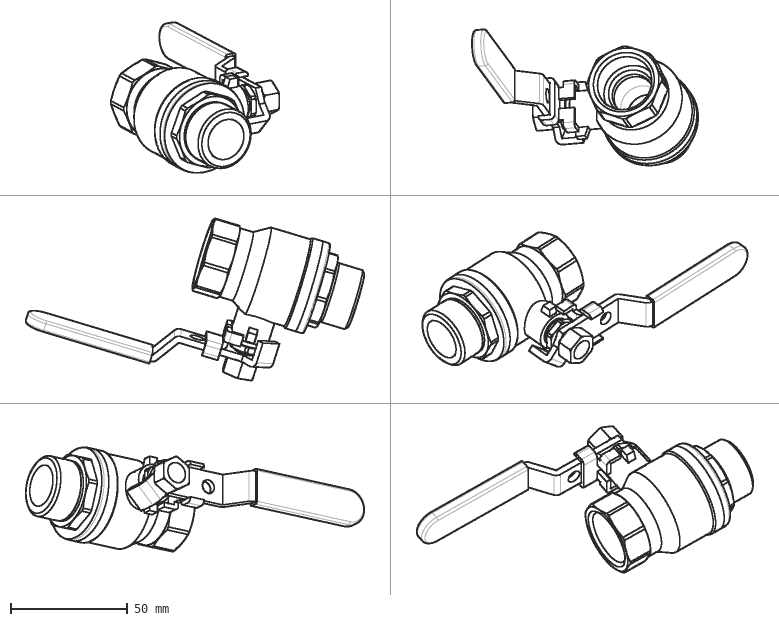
import cadquery as cq
import math


INLET_FACE = -29.9
INLET_HEX_END = -18.0
NECK_END = -12.0
SHOULDER_END = -5.2
COLLAR_START = 13.2
CAP_JOINT = 17.7
FLANGE_END = 21.1
CAP_HEX_END = 26.1
RELIEF_END = 27.3
OUTLET_FACE = 39.0
PLUG_START = 5.3

HEX_APOTHEM = 31.3 / 2
HEX_CORNER_RADIUS = 16.6
HEX_FACE_RADIUS = 15.5
NECK_RADIUS = 15.4
SHELL_RADIUS = 19.5
COLLAR_RADIUS = 40.5 / 2
COLLAR_STEP = COLLAR_RADIUS - SHELL_RADIUS
FLANGE_BEVEL_LENGTH = 0.9
FLANGE_BEVEL_HEIGHT = 0.3
HEX_BEVEL_LENGTH = 0.5
THREAD_RADIUS = 26.6 / 2
RELIEF_RADIUS = 13.2
THREAD_BEVEL = 1.2
BALL_RADIUS = 14.6
BORE_RADIUS = 18.0 / 2
THROAT_RADIUS = 20 / 2
SOCKET_RADIUS = 24.1 / 2
SOCKET_MOUTH_RADIUS = 27.0 / 2
SOCKET_MOUTH_DEPTH = 1.3
SOCKET_DEPTH = 12.6

STEM_FOOT = 12.0
GLAND_FOOT = 25.3
BOSS_TOP = 29.5
GLAND_STEP = 30.0
GLAND_TOP = 31.9
PACKING_NUT_TOP = 34.6
LEVER_BOTTOM = 35.9
LEVER_THICKNESS = 2.9
LEVER_TOP = LEVER_BOTTOM + LEVER_THICKNESS
LEVER_NUT_TOP = 46.3
BOSS_RADIUS = 17.0 / 2
STEM_RADIUS = 9.0 / 2
GLAND_FLANGE_RADIUS = 12.5 / 2
GLAND_RADIUS = 12.0 / 2
PACKING_NUT_FLATS = 14.0
PACKING_NUT_CORNER_RADIUS = 7.7
LEVER_NUT_FLATS = 13.2
NUT_BEVEL = 0.4

LUG_WIDTH = 3.9
LUG_REACH = 12.4
LUG_TOP = 28.3
LUG_FLAT_BOTTOM = 24.3
LUG_ROOT_BOTTOM = 23.0

LEVER_HALF_WIDTH = 6.9
LEVER_ANGLE = 56.5
GRIP_MID_HEIGHT = 48.8
LOWER_BEND_X = -29.5
LEVER_END = 4.0
WEB_END = 7.0
BEND_RADIUS = LEVER_THICKNESS
LOCK_HOLE_DIAMETER = 6.0
LOCK_HOLE_X = -21.4
STOP_ARM_ANGLE = 45.0
STOP_ARM_REACH = 12.9
STOP_ARM_HALF_WIDTH = 5.3
STOP_ARM_CORNER_RADIUS = LEVER_THICKNESS
STOP_ARM_BOTTOM = 26.9

GRIP_START = -94.0
GRIP_END = -38.2
GRIP_WALL = 1.1
GRIP_HALF_WIDTH = LEVER_HALF_WIDTH + GRIP_WALL
GRIP_THICKNESS = LEVER_THICKNESS + 2 * GRIP_WALL
GRIP_EDGE_RADIUS = 1.0

CLIP_SHEET = 2.1
CLIP_START = -17.7
CLIP_SLEEVE_END = -10.6
CLIP_HALF_WIDTH = 19.0 / 2
CLIP_LIP_TOP = 41.1
CLIP_CORNER_RADIUS = 2.0
CLIP_BASE_BOTTOM = LEVER_BOTTOM - CLIP_SHEET
CLIP_LEG_BOTTOM = 26.9
CLIP_LEG_SLOT = 4.5
CLIP_LEG_HALF_WIDTH = 7.5
CLIP_WING_TOP = 31.8
CLIP_WING_HALF_SPAN = 10.8
CLIP_WING_END = -3.2


def turned(points):
    """Solid of revolution about the flow axis from (x, radius) points."""
    return cq.Workplane("XY").polyline(points).close().revolve(360, (0, 0, 0), (1, 0, 0))


def stem_cylinder(radius, bottom, top):
    """Cylinder about the stem axis between two heights."""
    return cq.Workplane("XZ", origin=(0, bottom, 0)).circle(radius).extrude(bottom - top)


def wrench_octagon(start, end, start_radius):
    """Octagon with turned corners, bevelled at its end and, for a small start radius, at its start."""
    prism = (
        cq.Workplane("YZ", origin=(start, 0, 0))
        .polygon(8, 2 * HEX_APOTHEM / math.cos(math.pi / 8))
        .extrude(end - start)
    )
    envelope = turned([
        (start, 0),
        (start, start_radius),
        (start + HEX_BEVEL_LENGTH, HEX_CORNER_RADIUS),
        (end - HEX_BEVEL_LENGTH, HEX_CORNER_RADIUS),
        (end, HEX_FACE_RADIUS),
        (end, 0),
    ])
    return prism.intersect(envelope)


def hex_nut(flats, corner_radius, bottom, top, bevelled_faces):
    """Hexagon nut about the stem axis, corners toward +Z and -Z, bevelled on the chosen faces."""
    prism = (
        cq.Workplane("XZ", origin=(0, bottom, 0))
        .transformed(rotate=(0, 0, 90))
        .polygon(6, 2 * flats / math.sqrt(3))
        .extrude(bottom - top)
    )
    envelope = stem_cylinder(corner_radius, bottom, top)
    envelope = envelope.faces(bevelled_faces).chamfer(NUT_BEVEL)
    return prism.intersect(envelope).cut(stem_cylinder(STEM_RADIUS, bottom, top))


def make_lug(side):
    """Stop lug on the stem boss; side is +1 or -1 along Z."""
    return (
        cq.Workplane("YZ", origin=(-LUG_WIDTH / 2, 0, 0))
        .polyline([
            (LUG_TOP, 0),
            (LUG_TOP, side * LUG_REACH),
            (LUG_FLAT_BOTTOM, side * LUG_REACH),
            (LUG_ROOT_BOTTOM, side * BOSS_RADIUS),
            (LUG_ROOT_BOTTOM, 0),
        ])
        .close()
        .extrude(LUG_WIDTH)
    )


def make_body():
    shell = turned([
        (INLET_FACE + HEX_BEVEL_LENGTH, 0),
        (INLET_FACE + HEX_BEVEL_LENGTH, NECK_RADIUS),
        (NECK_END, NECK_RADIUS),
        (SHOULDER_END, SHELL_RADIUS),
        (COLLAR_START - COLLAR_STEP, SHELL_RADIUS),
        (COLLAR_START, COLLAR_RADIUS),
        (CAP_JOINT, COLLAR_RADIUS),
        (CAP_JOINT, 0),
    ])
    body = shell.union(wrench_octagon(INLET_FACE, INLET_HEX_END, HEX_FACE_RADIUS))
    body = body.union(stem_cylinder(BOSS_RADIUS, 0, BOSS_TOP))
    for side in (1, -1):
        body = body.union(make_lug(side))

    flow_passage = turned([
        (INLET_FACE, 0),
        (INLET_FACE, SOCKET_MOUTH_RADIUS),
        (INLET_FACE + SOCKET_MOUTH_DEPTH, SOCKET_RADIUS),
        (INLET_FACE + SOCKET_DEPTH, SOCKET_RADIUS),
        (INLET_FACE + SOCKET_DEPTH, THROAT_RADIUS),
        (-BALL_RADIUS, BORE_RADIUS),
        (0, BORE_RADIUS),
        (0, 0),
    ])
    body = body.cut(flow_passage)

    chamber = turned([(0, 0), (0, BALL_RADIUS), (CAP_JOINT, BALL_RADIUS), (CAP_JOINT, 0)])
    body = body.cut(chamber).cut(cq.Workplane("XY").sphere(BALL_RADIUS))

    body = body.cut(stem_cylinder(STEM_RADIUS, 0, GLAND_FOOT))
    return body.cut(stem_cylinder(GLAND_FLANGE_RADIUS, GLAND_FOOT, BOSS_TOP))


def make_cap():
    plug_seat_radius = math.sqrt(BALL_RADIUS**2 - PLUG_START**2)
    bore_start = math.sqrt(BALL_RADIUS**2 - BORE_RADIUS**2)
    seat_middle = BALL_RADIUS / math.sqrt(2)
    cap = (
        cq.Workplane("XY")
        .moveTo(PLUG_START, plug_seat_radius)
        .lineTo(PLUG_START, BALL_RADIUS)
        .lineTo(CAP_JOINT, BALL_RADIUS)
        .lineTo(CAP_JOINT, COLLAR_RADIUS)
        .lineTo(FLANGE_END - FLANGE_BEVEL_LENGTH, COLLAR_RADIUS)
        .lineTo(FLANGE_END, COLLAR_RADIUS - FLANGE_BEVEL_HEIGHT)
        .lineTo(FLANGE_END, RELIEF_RADIUS)
        .lineTo(RELIEF_END, RELIEF_RADIUS)
        .lineTo(RELIEF_END, THREAD_RADIUS)
        .lineTo(OUTLET_FACE - THREAD_BEVEL, THREAD_RADIUS)
        .lineTo(OUTLET_FACE, THREAD_RADIUS - THREAD_BEVEL)
        .lineTo(OUTLET_FACE, BORE_RADIUS)
        .lineTo(bore_start, BORE_RADIUS)
        .threePointArc((seat_middle, seat_middle), (PLUG_START, plug_seat_radius))
        .close()
        .revolve(360, (0, 0, 0), (1, 0, 0))
    )
    octagon = wrench_octagon(FLANGE_END, CAP_HEX_END, HEX_CORNER_RADIUS)
    return cap.union(octagon.cut(turned([
        (FLANGE_END, 0),
        (FLANGE_END, RELIEF_RADIUS),
        (CAP_HEX_END, RELIEF_RADIUS),
        (CAP_HEX_END, 0),
    ])))


def make_ball():
    bore = cq.Workplane("YZ").circle(BORE_RADIUS).extrude(BALL_RADIUS, both=True)
    stem_socket = stem_cylinder(STEM_RADIUS, STEM_FOOT, BALL_RADIUS)
    return cq.Workplane("XY").sphere(BALL_RADIUS).cut(bore).cut(stem_socket)


def make_stem():
    return stem_cylinder(STEM_RADIUS, STEM_FOOT, LEVER_NUT_TOP)


def make_gland():
    gland = stem_cylinder(GLAND_FLANGE_RADIUS, GLAND_FOOT, GLAND_STEP)
    gland = gland.union(stem_cylinder(GLAND_RADIUS, GLAND_STEP, GLAND_TOP))
    return gland.cut(stem_cylinder(STEM_RADIUS, GLAND_FOOT, GLAND_TOP))


def make_packing_nut():
    return hex_nut(PACKING_NUT_FLATS, PACKING_NUT_CORNER_RADIUS, GLAND_TOP, PACKING_NUT_TOP, ">Y")


def make_lever_nut():
    corner_radius = LEVER_NUT_FLATS / math.sqrt(3)
    return hex_nut(LEVER_NUT_FLATS, corner_radius, LEVER_TOP, LEVER_NUT_TOP, "<Y or >Y")


def lever_plan(half_width, start, end, bottom, top):
    """Slab in plan with a full round at its start and a square end."""
    return (
        cq.Workplane("XZ", origin=(0, bottom, 0))
        .moveTo(end, half_width)
        .lineTo(start + half_width, half_width)
        .threePointArc((start, 0), (start + half_width, -half_width))
        .lineTo(end, -half_width)
        .close()
        .extrude(bottom - top)
    )


def make_lever():
    half = LEVER_THICKNESS / 2
    start = GRIP_START + GRIP_WALL
    low = LEVER_BOTTOM + half
    high = GRIP_MID_HEIGHT
    upper_bend_x = LOWER_BEND_X - (high - low) / math.tan(math.radians(LEVER_ANGLE))
    shift = half * math.tan(math.radians(LEVER_ANGLE / 2))

    strip = (
        cq.Workplane("XY")
        .polyline([
            (start, high - half),
            (upper_bend_x - shift, high - half),
            (LOWER_BEND_X - shift, low - half),
            (LEVER_END, low - half),
            (LEVER_END, low + half),
            (LOWER_BEND_X + shift, low + half),
            (upper_bend_x + shift, high + half),
            (start, high + half),
        ])
        .close()
        .extrude(LEVER_HALF_WIDTH, both=True)
    )
    outer_corners = ((upper_bend_x + shift, high + half, 0), (LOWER_BEND_X - shift, low - half, 0))
    for corner in outer_corners:
        strip = strip.edges(cq.selectors.NearestToPointSelector(corner)).fillet(BEND_RADIUS)
    lever = strip.intersect(lever_plan(LEVER_HALF_WIDTH, start, LEVER_END, LEVER_BOTTOM, high + half))

    stop_arm = (
        cq.Workplane("XY")
        .polyline([
            (0, LEVER_TOP),
            (STOP_ARM_REACH, LEVER_TOP),
            (STOP_ARM_REACH, STOP_ARM_BOTTOM),
            (STOP_ARM_REACH - LEVER_THICKNESS, STOP_ARM_BOTTOM),
            (STOP_ARM_REACH - LEVER_THICKNESS, LEVER_BOTTOM),
            (0, LEVER_BOTTOM),
        ])
        .close()
        .extrude(STOP_ARM_HALF_WIDTH, both=True)
        .edges(">X and >Y")
        .fillet(STOP_ARM_CORNER_RADIUS)
        .rotate((0, 0, 0), (0, 1, 0), STOP_ARM_ANGLE)
    )
    flank_offset = STOP_ARM_HALF_WIDTH / math.cos(math.radians(STOP_ARM_ANGLE))
    web_low_z = flank_offset - WEB_END * math.tan(math.radians(STOP_ARM_ANGLE))
    web = (
        cq.Workplane("XZ", origin=(0, LEVER_BOTTOM, 0))
        .polyline([(0, LEVER_HALF_WIDTH), (LEVER_END, LEVER_HALF_WIDTH), (WEB_END, web_low_z), (0, 0)])
        .close()
        .extrude(-LEVER_THICKNESS)
    )
    lever = lever.union(stop_arm).union(web)

    lever = lever.cut(stem_cylinder(STEM_RADIUS, LEVER_BOTTOM, LEVER_TOP))
    lock_hole = stem_cylinder(LOCK_HOLE_DIAMETER / 2, LEVER_BOTTOM, LEVER_TOP)
    return lever.cut(lock_hole.translate((LOCK_HOLE_X, 0, 0)))


def make_grip(lever):
    bottom = GRIP_MID_HEIGHT - GRIP_THICKNESS / 2
    top = GRIP_MID_HEIGHT + GRIP_THICKNESS / 2
    grip = lever_plan(GRIP_HALF_WIDTH, GRIP_START, GRIP_END, bottom, top)
    grip = grip.faces("<Y or >Y").edges("not >X").fillet(GRIP_EDGE_RADIUS)
    return grip.cut(lever)


def make_clip():
    wall = CLIP_HALF_WIDTH - CLIP_SHEET

    sleeve = (
        cq.Workplane("YZ", origin=(CLIP_START, 0, 0))
        .polyline([
            (CLIP_LIP_TOP, wall),
            (CLIP_LIP_TOP, CLIP_HALF_WIDTH),
            (CLIP_BASE_BOTTOM, CLIP_HALF_WIDTH),
            (CLIP_BASE_BOTTOM, -CLIP_HALF_WIDTH),
            (CLIP_LIP_TOP, -CLIP_HALF_WIDTH),
            (CLIP_LIP_TOP, -wall),
            (LEVER_BOTTOM, -wall),
            (LEVER_BOTTOM, wall),
        ])
        .close()
        .extrude(CLIP_SLEEVE_END - CLIP_START)
        .edges("|X and (>Z or <Z)")
        .fillet(CLIP_CORNER_RADIUS)
    )

    leg_end = CLIP_SLEEVE_END + CLIP_SHEET
    leg = (
        cq.Workplane("XY")
        .moveTo(CLIP_SLEEVE_END, CLIP_LEG_BOTTOM)
        .lineTo(leg_end, CLIP_LEG_BOTTOM)
        .lineTo(leg_end, LEVER_BOTTOM - CLIP_SHEET)
        .radiusArc((CLIP_SLEEVE_END, LEVER_BOTTOM), -CLIP_SHEET)
        .close()
        .extrude(CLIP_LEG_HALF_WIDTH, both=True)
    )

    inner_span = CLIP_WING_HALF_SPAN - CLIP_SHEET
    wings = (
        cq.Workplane("XZ", origin=(0, CLIP_LEG_BOTTOM, 0))
        .polyline([
            (CLIP_SLEEVE_END, -CLIP_WING_HALF_SPAN),
            (CLIP_WING_END, -CLIP_WING_HALF_SPAN),
            (CLIP_WING_END, -inner_span),
            (leg_end, -inner_span),
            (leg_end, inner_span),
            (CLIP_WING_END, inner_span),
            (CLIP_WING_END, CLIP_WING_HALF_SPAN),
            (CLIP_SLEEVE_END, CLIP_WING_HALF_SPAN),
        ])
        .close()
        .extrude(CLIP_LEG_BOTTOM - CLIP_WING_TOP)
        .edges("|Y and <X")
        .fillet(CLIP_CORNER_RADIUS)
    )
    slot_height = CLIP_BASE_BOTTOM - CLIP_LEG_BOTTOM
    slot = cq.Workplane("XY").box(2 * CLIP_SHEET, slot_height, CLIP_LEG_SLOT)
    slot = slot.translate((leg_end - CLIP_SHEET / 2, CLIP_LEG_BOTTOM + slot_height / 2, 0))
    return sleeve.union(leg).union(wings).cut(slot)


lever = make_lever()
bodies = [
    make_body(),
    make_cap(),
    make_ball(),
    make_stem(),
    make_gland(),
    make_packing_nut(),
    make_lever_nut(),
    lever,
    make_grip(lever),
    make_clip(),
]

result = cq.Compound.makeCompound([body.solids().val() for body in bodies])